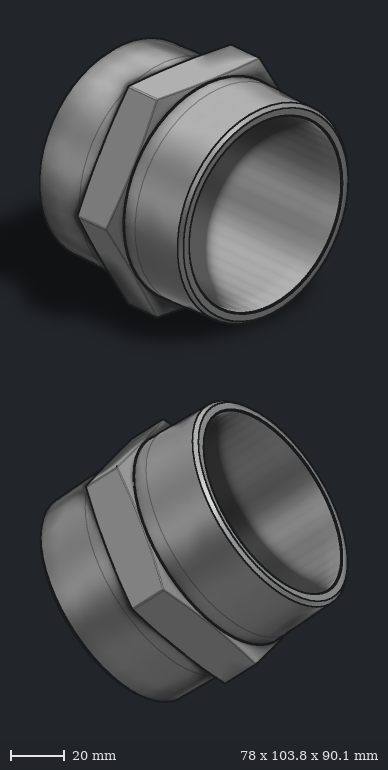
import cadquery as cq
import math

length = 78.0
half_length = length / 2

bore_radius = 77.0 / 2
bore_chamfer = 0.4

pipe_radius = 88.1 / 2
collar_end = 15.0
taper_on_diameter = 1 / 16
end_chamfer = 1.6

across_flats = 90.1
corner_to_corner = across_flats / math.cos(math.pi / 6)
corner_radius = 0.77
root_half_width = 9.1
face_slope = math.radians(10)
edge_radius = 0.3
root_radius = 0.3


def revolve_about_axis(half_profile):
    """Solid of revolution about X from (x, radius) points, mirrored to both sides of X = 0."""
    mirrored = [(-x, radius) for x, radius in reversed(half_profile)]
    profile = cq.Workplane("XY").polyline(mirrored + half_profile).close()
    return profile.revolve(360, (0, 0, 0), (1, 0, 0))


def make_pipe():
    """Solid pipe body with two tapered, chamfered ends."""
    taper_end = half_length - end_chamfer
    small_radius = pipe_radius - (taper_end - collar_end) * taper_on_diameter / 2
    return revolve_about_axis([
        (collar_end, pipe_radius),
        (taper_end, small_radius),
        (half_length, small_radius - end_chamfer),
        (half_length, 0),
    ])


def make_nut():
    """Hexagon with corners on +Y and -Y, trimmed by a cone on each side, all edges rounded."""
    rim_radius = corner_to_corner / 2
    rim_half_width = root_half_width - (rim_radius - pipe_radius) * math.tan(face_slope)
    apex_half_width = root_half_width + pipe_radius * math.tan(face_slope)
    double_cone = revolve_about_axis([
        (rim_half_width, rim_radius),
        (apex_half_width, 0),
    ])
    prism = (
        cq.Workplane("YZ")
        .polygon(6, corner_to_corner)
        .extrude(apex_half_width, both=True)
        .edges("|X")
        .fillet(corner_radius)
    )
    return prism.intersect(double_cone).faces("%CONE").edges().fillet(edge_radius)


def round_nut_roots(body):
    """Fillet the two circles where the conical nut faces meet the collar."""
    tolerance = 0.1
    reach_x = root_half_width + tolerance
    reach_yz = pipe_radius + tolerance
    root_box = cq.selectors.BoxSelector(
        (-reach_x, -reach_yz, -reach_yz),
        (reach_x, reach_yz, reach_yz),
        boundingbox=True,
    )
    return body.edges("%CIRCLE").edges(root_box).fillet(root_radius)


def cut_bore(body):
    """Through bore with a small chamfer at both mouths."""
    bore = cq.Workplane("YZ", origin=(-half_length, 0, 0)).circle(bore_radius).extrude(length)
    bored = body.cut(bore)
    end_faces = bored.faces("<X or >X")
    mouths = end_faces.edges(cq.selectors.RadiusNthSelector(0))
    return mouths.chamfer(bore_chamfer)


blank = make_pipe().union(make_nut())
result = cut_bore(round_nut_roots(blank)).solids()